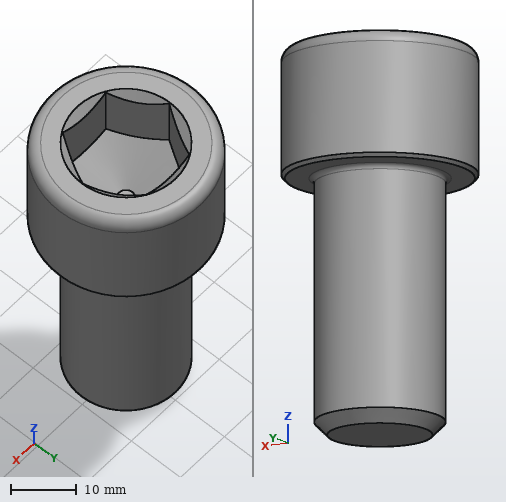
import cadquery as cq
import math


head_diameter = 30.0
head_height = 20.0
head_top_radius = 2.0
bearing_diameter = 28.87
head_bottom_chamfer = (head_diameter - bearing_diameter) / 2

shank_diameter = 20.0
shank_length = 40.0
tip_chamfer = 2.0
underhead_radius = 0.8

socket_across_flats = 17.0
socket_across_corners = socket_across_flats / math.cos(math.pi / 6)
socket_depth = 10.0
mouth_diameter = 19.9
mouth_angle = 45.0
floor_angle = 30.0
floor_flat_diameter = 2.8


def make_body():
    """Head and shank, turned from one half profile."""
    head_r = head_diameter / 2
    shank_r = shank_diameter / 2
    mid_arc = math.sin(math.pi / 4)
    top_center = (head_r - head_top_radius, head_height - head_top_radius)
    neck_center = (shank_r + underhead_radius, -underhead_radius)
    top_arc_middle = (
        top_center[0] + head_top_radius * mid_arc,
        top_center[1] + head_top_radius * mid_arc,
    )
    neck_arc_middle = (
        neck_center[0] - underhead_radius * mid_arc,
        neck_center[1] + underhead_radius * mid_arc,
    )
    profile = (
        cq.Workplane("XZ")
        .moveTo(0, -shank_length)
        .lineTo(shank_r - tip_chamfer, -shank_length)
        .lineTo(shank_r, -shank_length + tip_chamfer)
        .lineTo(shank_r, neck_center[1])
        .threePointArc(neck_arc_middle, (neck_center[0], 0))
        .lineTo(bearing_diameter / 2, 0)
        .lineTo(head_r, head_bottom_chamfer)
        .lineTo(head_r, top_center[1])
        .threePointArc(top_arc_middle, (top_center[0], head_height))
        .lineTo(0, head_height)
        .close()
    )
    return profile.revolve(360, (0, 0, 0), (0, 1, 0))


def make_socket():
    """Hexagon hole with a conical floor that ends in a small flat."""
    corner_r = socket_across_corners / 2
    flat_r = floor_flat_diameter / 2
    corner_z = head_height - socket_depth
    floor_z = corner_z - (corner_r - flat_r) * math.tan(math.radians(floor_angle))
    envelope = (
        cq.Workplane("XZ")
        .moveTo(0, floor_z)
        .lineTo(flat_r, floor_z)
        .lineTo(corner_r, corner_z)
        .lineTo(corner_r, head_height)
        .lineTo(0, head_height)
        .close()
        .revolve(360, (0, 0, 0), (0, 1, 0))
    )
    hexagon = (
        cq.Workplane("XY")
        .workplane(offset=floor_z)
        .polygon(6, socket_across_corners)
        .extrude(head_height - floor_z)
    )
    return hexagon.intersect(envelope)


def make_mouth():
    """Countersink that breaks the socket edge at the head face."""
    mouth_r = mouth_diameter / 2
    cone_height = mouth_r / math.tan(math.radians(mouth_angle))
    return (
        cq.Workplane("XZ")
        .moveTo(0, head_height - cone_height)
        .lineTo(mouth_r, head_height)
        .lineTo(0, head_height)
        .close()
        .revolve(360, (0, 0, 0), (0, 1, 0))
    )


result = make_body().cut(make_socket()).cut(make_mouth())